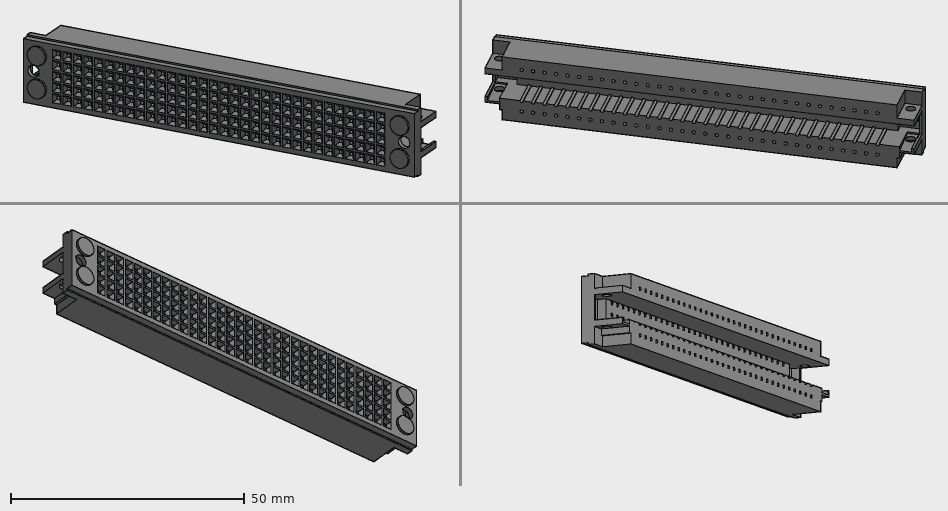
import cadquery as cq
import math

length = 95.0
height = 15.4
depth = 10.5

flange_thickness = 3.1
front_step_depth = 1.6
front_step_height = 0.4

peg_height = 0.6
peg_diameter = 4.4
peg_end_distance = 3.4
peg_spacing = 7.6

mount_offset = 0.3
channel_height = 5.5
ear_length = 3.8
ear_thickness = 1.4
ear_hole_diameter = 2.1
ear_hole_end_distance = 2.0
ear_hole_back_distance = 4.8

pocket_lip = 0.6
pocket_length = 2.7
pocket_back_depth = 0.95
pocket_slope = 5.0
ledge_height = 1.4

mount_hole_diameter = 2.8
mount_hole_end_distance = 2.5
mount_wall_thickness = 1.1
relief_end_wall = 0.6
relief_length = 4.75

columns = 32
rows = 5
grid_length = 78.8
funnel_opening = 2.1
funnel_depth = 0.8
contact_hole_diameter = 0.7

back = depth - peg_height
arm_depth = back - flange_thickness
pitch = grid_length / (columns - 1)
mid_height = height / 2
channel_bottom = mount_offset - channel_height / 2
channel_top = mount_offset + channel_height / 2
lower_ear_bottom = channel_bottom - ear_thickness
upper_ear_top = channel_top + ear_thickness
ledge_bottom = lower_ear_bottom - ledge_height
pocket_front_depth = pocket_back_depth - arm_depth * math.tan(math.radians(pocket_slope))


def box(start, end):
    """Box between two opposite corners."""
    size = [high - low for low, high in zip(start, end)]
    return cq.Workplane("XY").box(*size, centered=False).translate(start)


def on_front(y):
    """Sketch plane at the given Y: local x is X, local y is Z, and it extrudes toward -Y."""
    return cq.Workplane("XZ", origin=(0, y, 0))


def end_places(distance):
    """X places at the given distance from the two ends."""
    return (distance - length / 2, length / 2 - distance)


def mirrored_ends(left):
    """The left-end shape together with its copy at the right end."""
    return left.union(left.mirror("YZ"))


def make_body():
    """Long channel section with a front edge that is stepped in."""
    half_front = mid_height - front_step_height
    profile = (
        cq.Workplane("YZ", origin=(-length / 2, 0, 0))
        .moveTo(0, -half_front)
        .lineTo(front_step_depth, -half_front)
        .lineTo(front_step_depth, -mid_height)
        .lineTo(back, -mid_height)
        .lineTo(back, channel_bottom)
        .lineTo(flange_thickness, channel_bottom)
        .lineTo(flange_thickness, channel_top)
        .lineTo(back, channel_top)
        .lineTo(back, mid_height)
        .lineTo(front_step_depth, mid_height)
        .lineTo(front_step_depth, half_front)
        .lineTo(0, half_front)
        .close()
    )
    return profile.extrude(length)


def make_end_cuts():
    """Space above the upper ears and below the lower ears, leaving the ledges."""
    outer = -length / 2
    inner = outer + ear_length
    above = box((outer, flange_thickness, upper_ear_top), (inner, back, mid_height))
    below = box((outer, flange_thickness, -mid_height), (inner, back, lower_ear_bottom))
    ledge = box(
        (outer + pocket_lip + pocket_length, flange_thickness, ledge_bottom),
        (inner, back, lower_ear_bottom),
    )
    return mirrored_ends(above.union(below.cut(ledge)))


def make_pockets():
    """Pockets in the lower ears that deepen toward the back."""
    left = (
        cq.Workplane("YZ", origin=(pocket_lip - length / 2, 0, 0))
        .moveTo(flange_thickness, channel_bottom)
        .lineTo(flange_thickness, channel_bottom - pocket_front_depth)
        .lineTo(back, channel_bottom - pocket_back_depth)
        .lineTo(back, channel_bottom)
        .close()
        .extrude(pocket_length)
    )
    return mirrored_ends(left)


def make_reliefs():
    """Channel-high reliefs that thin the flange behind the mounting holes."""
    outer = relief_end_wall - length / 2
    left = box(
        (outer, mount_wall_thickness, channel_bottom),
        (outer + relief_length, flange_thickness, channel_top),
    )
    return mirrored_ends(left)


def make_ear_holes():
    """Vertical holes through both ears at each end."""
    hole_y = back - ear_hole_back_distance
    places = [(x, hole_y) for x in end_places(ear_hole_end_distance)]
    return (
        cq.Workplane("XY", origin=(0, 0, -mid_height))
        .pushPoints(places)
        .circle(ear_hole_diameter / 2)
        .extrude(height)
    )


def make_mount_holes():
    """Holes through the flange, opening into the reliefs."""
    places = [(x, mount_offset) for x in end_places(mount_hole_end_distance)]
    return on_front(back).pushPoints(places).circle(mount_hole_diameter / 2).extrude(back)


def make_pegs():
    """Pairs of round pegs at each end of the flange face."""
    places = [
        (x, mount_offset + side * peg_spacing / 2)
        for x in end_places(peg_end_distance)
        for side in (-1, 1)
    ]
    return on_front(0).pushPoints(places).circle(peg_diameter / 2).extrude(peg_height)


def make_contact():
    """Cutter for one contact: a square funnel and a hole through the whole depth."""
    funnel = (
        on_front(0)
        .rect(funnel_opening, funnel_opening)
        .workplane(offset=-funnel_depth)
        .rect(contact_hole_diameter, contact_hole_diameter)
        .loft(ruled=True)
    )
    hole = on_front(back).circle(contact_hole_diameter / 2).extrude(back)
    return funnel.union(hole).val()


def make_contacts():
    """Cutters for the whole contact grid."""
    contact = make_contact()
    first_x = -pitch * (columns - 1) / 2
    first_z = -pitch * (rows - 1) / 2
    cutters = []
    for column in range(columns):
        for row in range(rows):
            place = cq.Vector(first_x + column * pitch, 0, first_z + row * pitch)
            cutters.append(contact.translate(place))
    return cutters


housing = (
    make_body()
    .cut(make_end_cuts())
    .cut(make_pockets())
    .cut(make_reliefs())
    .cut(make_ear_holes())
    .union(make_pegs())
    .cut(make_mount_holes())
)
result = cq.Workplane("XY").newObject([housing.val().cut(*make_contacts())])